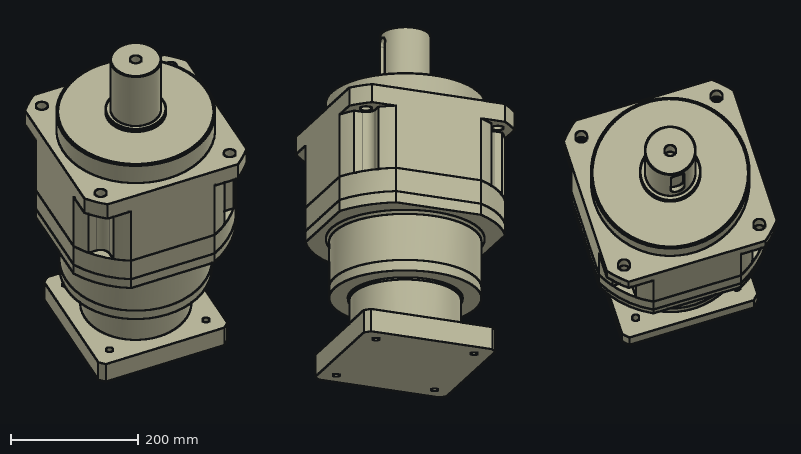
import cadquery as cq
import math

MOTOR_PLATE_TOP = 37.5
NECK_TOP = 111.5
INPUT_JOINT = 129.0
DRUM_TOP = 212.0
STAGE_JOINT = 230.5
RING_JOINT = 270.0
FLANGE_BOTTOM = 375.0
FLANGE_TOP = 405.5
PILOT_TOP = 443.5
COLLAR_TOP = 449.0
SHAFT_TOP = 554.5

HOUSING_WIDTH = 280.0
FLANGE_CORNER_RADIUS = 179.5
BODY_CORNER_RADIUS = 157.5
MOTOR_PLATE_WIDTH = 223.0
MOTOR_PLATE_CORNER_RADIUS = 151.5

NECK_RADIUS = 87.5
NECK_FLARE = 3.0
DRUM_RADIUS = 120.0
DRUM_FLARE = 5.0
PILOT_RADIUS = 125.0
PILOT_CHAMFER_HEIGHT = 1.5
PILOT_CHAMFER_WIDTH = 3.0
COLLAR_RADIUS = 47.5
COLLAR_CHAMFER = 1.0
SHAFT_RADIUS = 40.0
SHAFT_CHAMFER = 1.0

BOLT_OFFSET = BODY_CORNER_RADIUS / math.sqrt(2)
BOLT_HOLE_DIAMETER = 19.0
NOTCH_RADIUS = 15.5
MOTOR_HOLE_OFFSET = 83.0
MOTOR_HOLE_DIAMETER = 11.0

CENTRE_HOLE_DIAMETER = 18.5
CENTRE_HOLE_DEPTH = 33.0
DRILL_TIP_ANGLE = 118.0
KEYWAY_WIDTH = 22.0
KEYWAY_LENGTH = 80.0
KEYWAY_DEPTH = 9.0
KEYWAY_BOTTOM = 466.0


def cylinder(radius, bottom, top):
    return cq.Workplane("XY", origin=(0, 0, bottom)).circle(radius).extrude(top - bottom)


def trimmed_square(width, corner_radius, bottom, top):
    square = cq.Workplane("XY", origin=(0, 0, bottom)).rect(width, width).extrude(top - bottom)
    return square.intersect(cylinder(corner_radius, bottom, top))


def flare(radius, size, top):
    """Cone widening upward by `size` into the shoulder at `top`."""
    cone = cq.Solid.makeCone(radius, radius + size, size, pnt=cq.Vector(0, 0, top - size))
    return cq.Workplane(obj=cone)


def corner_holes(offset, diameter, bottom, top):
    holes = cq.Workplane("XY", origin=(0, 0, bottom)).rect(2 * offset, 2 * offset, forConstruction=True)
    return holes.vertices().circle(diameter / 2).extrude(top - bottom)


def make_input_adapter():
    """Motor plate, neck and the rim that closes the input stage."""
    plate = trimmed_square(MOTOR_PLATE_WIDTH, MOTOR_PLATE_CORNER_RADIUS, 0, MOTOR_PLATE_TOP)
    plate = plate.cut(corner_holes(MOTOR_HOLE_OFFSET, MOTOR_HOLE_DIAMETER, 0, MOTOR_PLATE_TOP))
    neck = cylinder(NECK_RADIUS, MOTOR_PLATE_TOP, NECK_TOP)
    rim = cylinder(DRUM_RADIUS, NECK_TOP, INPUT_JOINT)
    return plate.union(neck).union(flare(NECK_RADIUS, NECK_FLARE, NECK_TOP)).union(rim)


def make_input_stage():
    """Round drum with the square plate that carries the ring."""
    drum = cylinder(DRUM_RADIUS, INPUT_JOINT, DRUM_TOP)
    plate = trimmed_square(HOUSING_WIDTH, BODY_CORNER_RADIUS, DRUM_TOP, STAGE_JOINT)
    return drum.union(flare(DRUM_RADIUS, DRUM_FLARE, DRUM_TOP)).union(plate)


def make_ring():
    """Square ring section below the output housing."""
    return trimmed_square(HOUSING_WIDTH, BODY_CORNER_RADIUS, STAGE_JOINT, RING_JOINT)


def corner_notches():
    """Square notches at the four corners, rounded about the bolt axes."""
    inner = BOLT_OFFSET - NOTCH_RADIUS
    outer = HOUSING_WIDTH / 2
    size = outer - inner
    centres = inner + outer
    height = FLANGE_BOTTOM - RING_JOINT
    blocks = cq.Workplane("XY", origin=(0, 0, RING_JOINT)).rect(centres, centres, forConstruction=True)
    blocks = blocks.vertices().rect(size, size).extrude(height)
    inner_edges = cq.selectors.BoxSelector(
        (-BOLT_OFFSET, -BOLT_OFFSET, RING_JOINT), (BOLT_OFFSET, BOLT_OFFSET, FLANGE_BOTTOM)
    )
    return blocks.edges("|Z").edges(inner_edges).fillet(NOTCH_RADIUS)


def keyway():
    """Round-ended slot in the +Y side of the shaft."""
    slot = cq.Workplane("XZ", origin=(0, SHAFT_RADIUS, KEYWAY_BOTTOM + KEYWAY_LENGTH / 2))
    return slot.slot2D(KEYWAY_LENGTH, KEYWAY_WIDTH, 90).extrude(KEYWAY_DEPTH)


def centre_hole():
    """Blind drilled hole in the shaft end, with a conical tip."""
    radius = CENTRE_HOLE_DIAMETER / 2
    wall_bottom = SHAFT_TOP - CENTRE_HOLE_DEPTH
    tip = wall_bottom - radius / math.tan(math.radians(DRILL_TIP_ANGLE / 2))
    profile = [(0, SHAFT_TOP), (radius, SHAFT_TOP), (radius, wall_bottom), (0, tip)]
    return cq.Workplane("XZ").polyline(profile).close().revolve(360, (0, 0, 0), (0, 1, 0))


def make_output_housing():
    """Notched body with flange, pilot, collar and output shaft."""
    body = trimmed_square(HOUSING_WIDTH, BODY_CORNER_RADIUS, RING_JOINT, FLANGE_BOTTOM)
    body = body.cut(corner_notches())
    flange = trimmed_square(HOUSING_WIDTH, FLANGE_CORNER_RADIUS, FLANGE_BOTTOM, FLANGE_TOP)
    flange = flange.cut(corner_holes(BOLT_OFFSET, BOLT_HOLE_DIAMETER, FLANGE_BOTTOM, FLANGE_TOP))
    pilot = cylinder(PILOT_RADIUS, FLANGE_TOP, PILOT_TOP)
    pilot = pilot.faces(">Z").chamfer(PILOT_CHAMFER_HEIGHT, PILOT_CHAMFER_WIDTH)
    collar = cylinder(COLLAR_RADIUS, PILOT_TOP, COLLAR_TOP).faces(">Z").chamfer(COLLAR_CHAMFER)
    shaft = cylinder(SHAFT_RADIUS, COLLAR_TOP, SHAFT_TOP).faces(">Z").chamfer(SHAFT_CHAMFER)
    shaft = shaft.cut(keyway()).cut(centre_hole())
    return body.union(flange).union(pilot).union(collar).union(shaft)


input_adapter = make_input_adapter()
input_stage = make_input_stage()
ring = make_ring()
output_housing = make_output_housing()

result = cq.Compound.makeCompound(
    [input_adapter.val(), input_stage.val(), ring.val(), output_housing.val()]
)